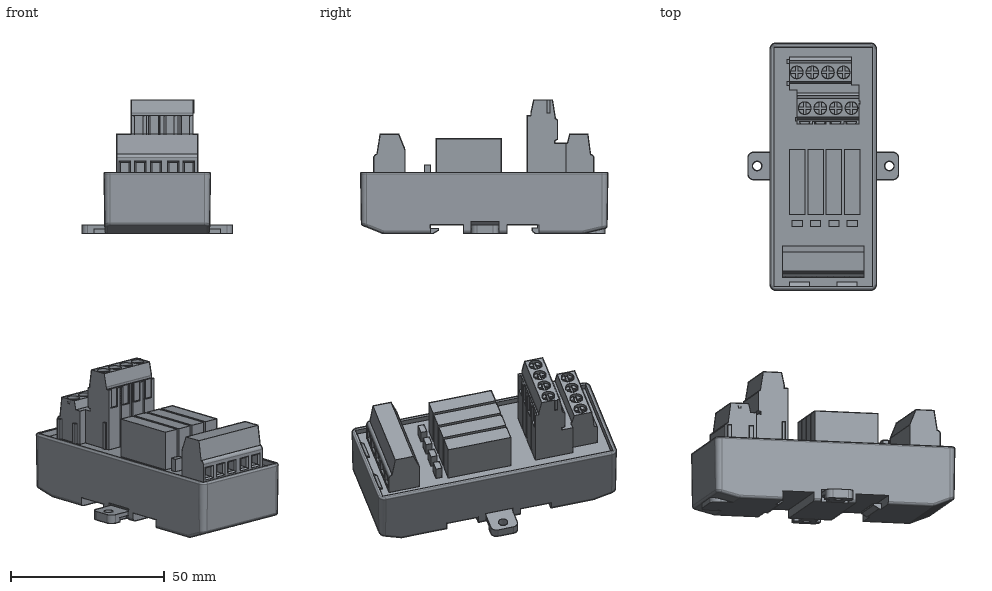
import cadquery as cq
import math


LENGTH = 80.4
WIDTH = 34.65
RIM_Z = 19.9
DRAFT_ANGLE = 0.9
CORNER_RADIUS = 2.0
BOTTOM_RADIUS = 0.9
RIM_RADIUS = 0.6
WALL = 1.3
RECESS_DEPTH = 1.8
REAR_WALL_LEAN = 0.25
FLOOR_Z = RIM_Z - RECESS_DEPTH
DOWNWARD_LIMIT = -0.5
FRONT_BEVEL_START = 32.9
FRONT_BEVEL_HEIGHT = 2.8
REAR_BEVEL_START = 32.2
REAR_BEVEL_HEIGHT = 1.85

CHANNEL_HEIGHT = 2.9
CHANNEL_FRONT = -17.5
CHANNEL_REAR = 17.8
PAD_FRONT = -6.75
PAD_REAR = 7.4
HOOK_WIDTH = 16.1
FRONT_HOOK_HEIGHT = 1.7
FRONT_HOOK_TIP_HEIGHT = 1.1
FRONT_HOOK_REACH = 2.7
FRONT_HOOK_BOTTOM_REACH = 0.9
REAR_HOOK_HEIGHT = 1.85
REAR_HOOK_TIP_HEIGHT = 1.0
REAR_HOOK_REACH = 2.25
REAR_HOOK_BOTTOM_REACH = 1.2
REAR_HOOK_STEM = 0.5
HOOK_OVERLAP = 0.8
TAB_END = 39.3
TAB_LENGTH = 8.0
TAB_HEIGHT = 2.4
TAB_RADIUS = 3.05

FEET_SPAN = 49.05
FOOT_WIDTH = 9.0
FOOT_CENTER_Y = 0.25
FOOT_HEIGHT = CHANNEL_HEIGHT
FOOT_ROOT_X = 16.1
FOOT_RADIUS = 1.9
FOOT_HOLE_DIAMETER = 3.0
FOOT_HOLE_X = 21.5
FOOT_NOTCH_X = 20.5
FOOT_NOTCH_HEIGHT = 1.5
FOOT_NOTCH_DEPTH = 1.8
SOCKET_MOUTH_Z = 3.9
SOCKET_CLEARANCE = 0.1

CHANNEL_COUNT = 4
RELAY_PITCH = 5.95
FIRST_RELAY_X = -8.45
RELAY_WIDTH = 5.1
RELAY_FRONT = -15.6
RELAY_REAR = 5.55
RELAY_TOP = 30.9
LAMP_WIDTH = 3.3
LAMP_FRONT = -19.45
LAMP_REAR = -17.45
LAMP_TOP = 22.35

WEDGE_X = 7.7
WEDGE_WIDTH = 6.6
WEDGE_DEPTH = 1.45
WEDGE_HEIGHT = 1.3

TERMINAL_PITCH = 5.1
TERMINAL_TOP = 32.3
SHOULDER_RADIUS = 1.3
STEP_Z = 29.4
SCREW_DIAMETER = 4.1
SCREW_DEPTH = 1.0
SLOT_WIDTH = 0.8
SLOT_DEPTH = 0.65

INPUT_WIDTH = 26.4
INPUT_FACE_Y = -35.9
INPUT_FACE_TOP = 24.7
INPUT_SHOULDER_Y = -34.9
INPUT_SHOULDER_Z = 25.8
INPUT_TOP_FRONT = -33.85
INPUT_TOP_REAR = -27.7
INPUT_BACK_Y = -25.7
INPUT_BACK_TOP = 27.25
INPUT_COUNT = 5
INPUT_FIRST_X = -10.5
INPUT_GROUP_SIZE = 3
INPUT_GROUP_GAP = 0.5
WINDOW_WIDTH = 3.7
WINDOW_HEIGHT = 4.3
WINDOW_TOP = 23.55
FUNNEL_INSET = 0.5
FUNNEL_DEPTH = 0.65
WINDOW_DEPTH = 3.2

LOWER_LEFT = -10.9
BLOCK_WIDTH = 20.2
LOWER_FRONT = 25.0
LOWER_STEP_Y = 27.0
LOWER_TOP_FRONT = 27.7
LOWER_TOP_REAR = 33.7
LOWER_SHOULDER_Y = 34.6
LOWER_SHOULDER_Z = 25.7
LOWER_BACK_Y = 35.6
LOWER_BACK_TOP = 24.85
LOWER_SCREW_Y = 30.6
LOWER_FIRST_SCREW_X = -8.6

UPPER_LEFT = -8.5
UPPER_FACE_Y = 13.9
UPPER_REAR = 26.6
UPPER_TOP = 43.5
UPPER_LEDGE_Z = 38.35
UPPER_LEDGE_Y = 15.1
UPPER_SLOPE_BOTTOM = 39.15
UPPER_TOP_FRONT = 16.1
UPPER_TOP_REAR = 22.2
UPPER_SHOULDER_Y = 23.15
UPPER_SHOULDER_Z = 37.4
UPPER_BACK_Y = 23.9
UPPER_BACK_TOP = 36.75
UPPER_BACK_BOTTOM = 30.6
UPPER_NECK_Y = 22.9
UPPER_NECK_TOP = 30.2
UPPER_SCREW_Y = 19.05
UPPER_FIRST_SCREW_X = -6.0
POCKET_FRONT_WIDTH = 2.65
POCKET_BACK_WIDTH = 3.4
POCKET_DEPTH = 0.7
POCKET_HEIGHT = 6.3
GROOVE_DEPTH = 0.7
GROOVE_WIDTH = 0.65
GROOVE_CENTERS = [-3.2, 7.0]
MIDDLE_GROOVE_CENTER = 1.5
MIDDLE_GROOVE_WIDTH = 1.3

RIB_DEPTH = 0.9
RIB_WIDTH = 1.3
LOWER_RIB_TOP = 24.9
LOWER_RIB_CENTERS = [34.25, 27.0]
UPPER_RIB_DEPTH = 0.6
UPPER_RIB_WIDTH = 1.05
UPPER_RIB_Y = 15.4
UPPER_RIB_TOP = 27.2
SIDE_KEY_DEPTH = 0.3
SIDE_KEY_WIDTH = 1.0
SIDE_KEY_Y = 20.9
SIDE_KEY_BOTTOM = UPPER_SLOPE_BOTTOM


def block(x0, x1, y0, y1, z0, z1):
    """Box given by its limits."""
    return cq.Workplane("XY").box(x1 - x0, y1 - y0, z1 - z0, centered=False).translate((x0, y0, z0))


def prism(points, x0, x1):
    """Closed (Y, Z) outline extended along X."""
    return cq.Workplane("YZ", origin=(x0, 0, 0)).polyline(points).close().extrude(x1 - x0)


def row(first, pitch, count):
    """Evenly spaced positions."""
    return [first + index * pitch for index in range(count)]


def base_shell():
    """Drafted block with bevelled ends, rounded bottom and rim, and a recessed top floor."""
    slope = math.radians(DRAFT_ANGLE)
    rim_loss = RIM_RADIUS * (math.tan(slope) + 1 / math.cos(slope) - 1)
    outline = cq.Sketch().rect(WIDTH + 2 * rim_loss, LENGTH + 2 * rim_loss).vertices().fillet(CORNER_RADIUS)
    shell = (
        cq.Workplane("XY", origin=(0, 0, RIM_Z)).transformed(rotate=(180, 0, 0))
        .placeSketch(outline).extrude(RIM_Z, taper=DRAFT_ANGLE)
    )
    end_y = LENGTH / 2 - RIM_Z * math.tan(slope)
    front_run = end_y - FRONT_BEVEL_START
    rear_run = end_y - REAR_BEVEL_START
    front_bevel = [
        (-FRONT_BEVEL_START, 0),
        (-FRONT_BEVEL_START - 2 * front_run, 0),
        (-FRONT_BEVEL_START - 2 * front_run, 2 * FRONT_BEVEL_HEIGHT),
    ]
    rear_bevel = [
        (REAR_BEVEL_START, 0),
        (REAR_BEVEL_START + 2 * rear_run, 0),
        (REAR_BEVEL_START + 2 * rear_run, 2 * REAR_BEVEL_HEIGHT),
    ]
    for bevel in (front_bevel, rear_bevel):
        shell = shell.cut(prism(bevel, -WIDTH, WIDTH))
    bottom_faces = [face for face in shell.faces().vals() if face.normalAt().z < DOWNWARD_LIMIT]
    bottom_edges = [edge for face in bottom_faces for edge in face.Edges()]
    perimeter = [edge for edge in bottom_edges if sum(edge.isSame(other) for other in bottom_edges) == 1]
    shell = shell.newObject(perimeter).fillet(BOTTOM_RADIUS)
    shell = shell.faces(">Z").edges().fillet(RIM_RADIUS)
    half_x = WIDTH / 2 - WALL
    half_y = LENGTH / 2 - WALL
    recess = [(-half_y, FLOOR_Z), (half_y - REAR_WALL_LEAN, FLOOR_Z), (half_y, RIM_Z), (-half_y, RIM_Z)]
    return shell.cut(prism(recess, -half_x, half_x))


def rail_channels():
    """Two full-width grooves for the rail flanges, one each side of the center pad."""
    front = block(-WIDTH, WIDTH, CHANNEL_FRONT, PAD_FRONT, 0, CHANNEL_HEIGHT)
    rear = block(-WIDTH, WIDTH, PAD_REAR, CHANNEL_REAR, 0, CHANNEL_HEIGHT)
    return front.add(rear).combine()


def rail_hooks():
    """Hooks that reach into the channel from both of its ends."""
    front_root = CHANNEL_FRONT - HOOK_OVERLAP
    front_tip = CHANNEL_FRONT + FRONT_HOOK_REACH
    front = prism([
        (front_root, 0),
        (CHANNEL_FRONT + FRONT_HOOK_BOTTOM_REACH, 0),
        (front_tip, FRONT_HOOK_TIP_HEIGHT),
        (front_tip, FRONT_HOOK_HEIGHT),
        (front_root, FRONT_HOOK_HEIGHT),
    ], -HOOK_WIDTH / 2, HOOK_WIDTH / 2)
    rear_root = CHANNEL_REAR + HOOK_OVERLAP
    rear_stem = CHANNEL_REAR - REAR_HOOK_STEM
    rear_tip = CHANNEL_REAR - REAR_HOOK_REACH
    rear = prism([
        (rear_root, 0),
        (CHANNEL_REAR - REAR_HOOK_BOTTOM_REACH, 0),
        (rear_tip, REAR_HOOK_TIP_HEIGHT),
        (rear_tip, REAR_HOOK_HEIGHT),
        (rear_stem, REAR_HOOK_HEIGHT),
        (rear_stem, CHANNEL_HEIGHT),
        (rear_root, CHANNEL_HEIGHT),
    ], -HOOK_WIDTH / 2, HOOK_WIDTH / 2)
    return [front, rear]


def release_tab():
    """Low tab with rounded outer corners under the rear bevel."""
    tab = block(-HOOK_WIDTH / 2, HOOK_WIDTH / 2, TAB_END - TAB_LENGTH, TAB_END, 0, TAB_HEIGHT)
    return tab.edges("|Z and >Y").fillet(TAB_RADIUS)


def foot_socket(side):
    """Recess that takes a foot, open below, its ceiling sloping up to the outer wall."""
    width = FOOT_WIDTH + 2 * SOCKET_CLEARANCE
    mouth_x = FOOT_ROOT_X + SOCKET_MOUTH_Z - FOOT_HEIGHT
    section = [
        (FOOT_ROOT_X, 0),
        (FEET_SPAN / 2, 0),
        (FEET_SPAN / 2, SOCKET_MOUTH_Z),
        (mouth_x, SOCKET_MOUTH_Z),
        (FOOT_ROOT_X, FOOT_HEIGHT),
    ]
    return (
        cq.Workplane("XZ", origin=(0, FOOT_CENTER_Y + width / 2, 0))
        .polyline([(side * x, z) for x, z in section]).close().extrude(width)
    )


def mounting_foot(side):
    """Screw lug with rounded outer corners, undercut beside the base along both edges."""
    front_y = FOOT_CENTER_Y - FOOT_WIDTH / 2
    rear_y = FOOT_CENTER_Y + FOOT_WIDTH / 2
    foot = block(FOOT_ROOT_X, FEET_SPAN / 2, front_y, rear_y, 0, FOOT_HEIGHT)
    foot = foot.edges("|Z and >X").fillet(FOOT_RADIUS)
    for y in (front_y, rear_y - FOOT_NOTCH_DEPTH):
        foot = foot.cut(block(FOOT_ROOT_X, FOOT_NOTCH_X, y, y + FOOT_NOTCH_DEPTH, 0, FOOT_NOTCH_HEIGHT))
    hole = (
        cq.Workplane("XY").center(FOOT_HOLE_X, FOOT_CENTER_Y)
        .circle(FOOT_HOLE_DIAMETER / 2).extrude(FOOT_HEIGHT)
    )
    foot = foot.cut(hole)
    return foot if side > 0 else foot.mirror("YZ")


def relays_and_lamps():
    """A row of relays with one lamp in front of each."""
    parts = []
    for x in row(FIRST_RELAY_X, RELAY_PITCH, CHANNEL_COUNT):
        relay_half = RELAY_WIDTH / 2
        lamp_half = LAMP_WIDTH / 2
        parts.append(block(x - relay_half, x + relay_half, RELAY_FRONT, RELAY_REAR, FLOOR_Z, RELAY_TOP))
        parts.append(block(x - lamp_half, x + lamp_half, LAMP_FRONT, LAMP_REAR, FLOOR_Z, LAMP_TOP))
    return parts


def snap_wedges():
    """Two wedges on the inside of the front wall, sloping down away from it."""
    wall_y = -LENGTH / 2 + WALL
    section = [(wall_y, FLOOR_Z), (wall_y + WEDGE_DEPTH, FLOOR_Z), (wall_y, FLOOR_Z + WEDGE_HEIGHT)]
    return [
        prism(section, x - WEDGE_WIDTH / 2, x + WEDGE_WIDTH / 2)
        for x in (-WEDGE_X, WEDGE_X)
    ]


def screw_recesses(first_x, y, top_z):
    """Round screw wells whose floors carry crossed driver slots."""
    wells = cq.Workplane("XY")
    for x in row(first_x, TERMINAL_PITCH, CHANNEL_COUNT):
        floor = cq.Workplane("XY", origin=(x, y, top_z - SCREW_DEPTH))
        wells = wells.add(floor.circle(SCREW_DIAMETER / 2).extrude(SCREW_DEPTH))
        cross = floor.rect(SCREW_DIAMETER, SLOT_WIDTH).extrude(-SLOT_DEPTH)
        cross = cross.union(floor.rect(SLOT_WIDTH, SCREW_DIAMETER).extrude(-SLOT_DEPTH))
        round_limit = floor.circle(SCREW_DIAMETER / 2).extrude(-SLOT_DEPTH)
        wells = wells.add(cross.intersect(round_limit))
    return wells.combine()


def input_windows():
    """Wire openings with a funnel mouth, as solids to cut from the front face."""
    windows = cq.Workplane("XY")
    center_z = WINDOW_TOP - WINDOW_HEIGHT / 2
    throat_width = WINDOW_WIDTH - 2 * FUNNEL_INSET
    throat_height = WINDOW_HEIGHT - 2 * FUNNEL_INSET
    for index, x in enumerate(row(INPUT_FIRST_X, TERMINAL_PITCH, INPUT_COUNT)):
        if index >= INPUT_GROUP_SIZE:
            x += INPUT_GROUP_GAP
        mouth = cq.Workplane("XZ", origin=(x, INPUT_FACE_Y, center_z))
        funnel = (
            mouth.rect(WINDOW_WIDTH, WINDOW_HEIGHT).workplane(offset=-FUNNEL_DEPTH)
            .rect(throat_width, throat_height).loft(combine=True)
        )
        throat = mouth.rect(throat_width, throat_height).extrude(-WINDOW_DEPTH)
        windows = windows.add(funnel.union(throat))
    return windows.combine()


def input_terminal():
    """Five-pole terminal block at the front end."""
    body = (
        cq.Workplane("YZ", origin=(-INPUT_WIDTH / 2, 0, 0))
        .moveTo(INPUT_FACE_Y, FLOOR_Z)
        .lineTo(INPUT_FACE_Y, INPUT_FACE_TOP)
        .radiusArc((INPUT_SHOULDER_Y, INPUT_SHOULDER_Z), SHOULDER_RADIUS)
        .lineTo(INPUT_TOP_FRONT, TERMINAL_TOP)
        .lineTo(INPUT_TOP_REAR, TERMINAL_TOP)
        .lineTo(INPUT_BACK_Y, INPUT_BACK_TOP)
        .lineTo(INPUT_BACK_Y, FLOOR_Z)
        .close().extrude(INPUT_WIDTH)
    )
    return body.cut(input_windows())


def lower_terminal():
    """Lower row of the stepped four-pole terminal pair, with key ribs on its left end."""
    body = (
        cq.Workplane("YZ", origin=(LOWER_LEFT, 0, 0))
        .moveTo(LOWER_FRONT, FLOOR_Z)
        .lineTo(LOWER_FRONT, STEP_Z)
        .lineTo(LOWER_STEP_Y, STEP_Z)
        .lineTo(LOWER_TOP_FRONT, TERMINAL_TOP)
        .lineTo(LOWER_TOP_REAR, TERMINAL_TOP)
        .lineTo(LOWER_SHOULDER_Y, LOWER_SHOULDER_Z)
        .radiusArc((LOWER_BACK_Y, LOWER_BACK_TOP), SHOULDER_RADIUS)
        .lineTo(LOWER_BACK_Y, FLOOR_Z)
        .close().extrude(BLOCK_WIDTH)
    )
    for y in LOWER_RIB_CENTERS:
        rib_start = y - RIB_WIDTH / 2
        rib_end = y + RIB_WIDTH / 2
        body = body.union(
            block(LOWER_LEFT - RIB_DEPTH, LOWER_LEFT, rib_start, rib_end, FLOOR_Z, LOWER_RIB_TOP))
    return body.cut(screw_recesses(LOWER_FIRST_SCREW_X, LOWER_SCREW_Y, TERMINAL_TOP))


def upper_terminal_face_cuts():
    """Dovetail pockets below the ledge and full-height grooves between the poles."""
    cuts = cq.Workplane("XY")
    pocket_back_y = UPPER_FACE_Y + POCKET_DEPTH
    for x in row(UPPER_FIRST_SCREW_X, TERMINAL_PITCH, CHANNEL_COUNT):
        pocket = cq.Workplane("XY", origin=(x, 0, UPPER_LEDGE_Z)).polyline([
            (-POCKET_FRONT_WIDTH / 2, UPPER_FACE_Y),
            (POCKET_FRONT_WIDTH / 2, UPPER_FACE_Y),
            (POCKET_BACK_WIDTH / 2, pocket_back_y),
            (-POCKET_BACK_WIDTH / 2, pocket_back_y),
        ]).close().extrude(-POCKET_HEIGHT)
        cuts = cuts.add(pocket)
    grooves = [(x, GROOVE_WIDTH) for x in GROOVE_CENTERS]
    grooves.append((MIDDLE_GROOVE_CENTER, MIDDLE_GROOVE_WIDTH))
    for x, width in grooves:
        cuts = cuts.add(block(
            x - width / 2, x + width / 2, UPPER_FACE_Y, UPPER_FACE_Y + GROOVE_DEPTH, FLOOR_Z, UPPER_LEDGE_Z))
    return cuts.combine()


def upper_terminal():
    """Upper row of the stepped terminal pair, overhanging the step at its rear."""
    body = (
        cq.Workplane("YZ", origin=(UPPER_LEFT, 0, 0))
        .moveTo(UPPER_FACE_Y, FLOOR_Z)
        .lineTo(UPPER_FACE_Y, UPPER_LEDGE_Z)
        .lineTo(UPPER_LEDGE_Y, UPPER_LEDGE_Z)
        .lineTo(UPPER_LEDGE_Y, UPPER_SLOPE_BOTTOM)
        .lineTo(UPPER_TOP_FRONT, UPPER_TOP)
        .lineTo(UPPER_TOP_REAR, UPPER_TOP)
        .lineTo(UPPER_SHOULDER_Y, UPPER_SHOULDER_Z)
        .radiusArc((UPPER_BACK_Y, UPPER_BACK_TOP), SHOULDER_RADIUS)
        .lineTo(UPPER_BACK_Y, UPPER_BACK_BOTTOM)
        .lineTo(UPPER_NECK_Y, UPPER_NECK_TOP)
        .lineTo(UPPER_NECK_Y, STEP_Z)
        .lineTo(UPPER_REAR, STEP_Z)
        .lineTo(UPPER_REAR, FLOOR_Z)
        .close().extrude(BLOCK_WIDTH)
    )
    rib = block(
        UPPER_LEFT - UPPER_RIB_DEPTH, UPPER_LEFT,
        UPPER_RIB_Y - UPPER_RIB_WIDTH / 2, UPPER_RIB_Y + UPPER_RIB_WIDTH / 2,
        FLOOR_Z, UPPER_RIB_TOP)
    right = UPPER_LEFT + BLOCK_WIDTH
    side_key = block(
        right, right + SIDE_KEY_DEPTH,
        SIDE_KEY_Y - SIDE_KEY_WIDTH / 2, SIDE_KEY_Y + SIDE_KEY_WIDTH / 2,
        SIDE_KEY_BOTTOM, UPPER_TOP)
    body = body.union(rib).union(side_key)
    body = body.cut(screw_recesses(UPPER_FIRST_SCREW_X, UPPER_SCREW_Y, UPPER_TOP))
    return body.cut(upper_terminal_face_cuts())


def build_housing():
    """Base in one piece with the parts on its floor, and sockets for the feet."""
    housing = base_shell().cut(rail_channels())
    additions = [*rail_hooks(), release_tab(), *relays_and_lamps(), *snap_wedges()]
    additions += [input_terminal(), lower_terminal(), upper_terminal()]
    for addition in additions:
        housing = housing.union(addition)
    for side in (-1, 1):
        housing = housing.cut(foot_socket(side))
    return housing


housing = build_housing()
feet = [mounting_foot(side) for side in (-1, 1)]
result = cq.Compound.makeCompound([housing.val(), *[foot.val() for foot in feet]])